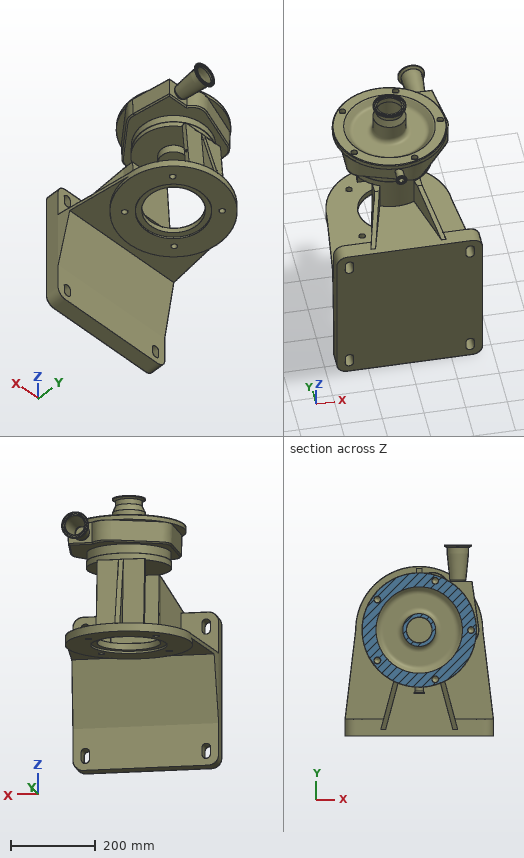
import cadquery as cq
import math


plate_width = 350.0
plate_height = 370.0
plate_thickness = 40.0
plate_corner_radius = 25.0
plate_front_y = -250.0
plate_back_y = plate_front_y + plate_thickness
slot_width = 20.0
slot_length = 36.0
slot_pitch_x = 290.0
slot_pitch_z = 300.0

shelf_top_z = 270.0
shelf_thickness = 10.0
shelf_disk_radius = 150.0
shelf_disk_thickness = 20.0
shelf_hole_radius = 75.0
spigot_recess_radius = 90.0
spigot_recess_depth = 5.0
motor_bolt_count = 4
motor_bolt_start_angle = 45.0
motor_bolt_circle_radius = 115.0
motor_bolt_hole_diameter = 15.0
wedge_start_y = -175.0
wedge_bottom_z = 100.0

leg_top_z = 435.0
leg_half_width = 57.0
front_leg_inner_top_y = -80.0
front_leg_inner_bottom_y = -70.0
front_leg_outer_y = -109.0
rear_leg_inner_top_y = 88.0
rear_leg_inner_bottom_y = 101.5
rear_leg_thickness = 12.0
rear_gusset_thickness = 12.0
rear_gusset_foot_y = 145.0
rib_thickness = 11.0
rib_tip_y = -234.0
rib_angle = 15.0
guard_hole_diameter = 6.0
guard_hole_z = 340.0
guard_hole_depth = 15.0

lower_flange_radius = 100.5
upper_flange_radius = 99.5
flange_step_z = 450.0
stub_radius = 37.5
stub_bottom_z = 412.5

casing_bottom_z = 472.0
casing_top_z = 523.5
casing_mid_z = (casing_bottom_z + casing_top_z) / 2
casing_draft = 1.2
casing_chamfer = 3.5
chamfer_angle = 45.0
corner_count = 5
corner_step = 360.0 / corner_count
corner_centre_radius = 100.0
large_corner_radius = 40.5
small_corner_radius = 34.5
outlet_block_x = 124.5
outlet_block_y = 114.5

cover_radius = 135.0
cover_top_z = 535.5
cover_chamfer = 2.0
cover_bolt_circle_radius = 122.0
cover_bolt_diameter = 15.0
cover_bolt_depth = 12.0
drill_point_angle = 118.0
recess_depth = 17.0
recess_rim_radius = 108.0
recess_mouth_radius = 105.0
recess_wall_radius = 94.5
recess_floor_radius = 84.0
recess_wall_angle = 45.0
hub_foot_radius = 53.0

inlet_top_z = 602.6
inlet_bore_radius = 30.0
inlet_tube_radius = 32.0
inlet_ferrule_radius = 38.75
inlet_hub_radius = 39.0
inlet_tube_length = 18.5
inlet_reducer_length = 15.5

side_nozzle_z = 499.25

outlet_x = 91.0
outlet_end_y = 200.0
outlet_ferrule_radius = 32.0
outlet_tube_radius = 25.4
outlet_root_radius = 19.0
outlet_neck_radius = 16.5
outlet_neck_length = 3.5
outlet_wall = 1.75
outlet_tube_length = 20.0

drain_end_y = -150.0
drain_ferrule_radius = 12.75
drain_tube_radius = 9.5
drain_bore_radius = 6.5

ferrule_rim = 2.5
ferrule_length = 6.0
inlet_groove_radius = 35.25
outlet_groove_radius = 28.0
large_groove_section = 1.5
drain_groove_radius = 10.0
drain_groove_section = 1.0


def polar(radius, angle):
    return (radius * math.cos(math.radians(angle)), radius * math.sin(math.radians(angle)))


def disk(radius, bottom_z, top_z):
    return cq.Workplane("XY").workplane(offset=bottom_z).circle(radius).extrude(top_z - bottom_z)


def side_profile(points, half_width):
    """Closed (Y, Z) outline extruded symmetrically about X = 0."""
    return cq.Workplane("YZ").polyline(points).close().extrude(half_width, both=True)


def mounting_plate():
    plate = (
        cq.Workplane("XZ", origin=(0, plate_back_y, plate_height / 2))
        .rect(plate_width, plate_height)
        .extrude(plate_thickness)
        .edges("|Y")
        .fillet(plate_corner_radius)
    )
    slots = (
        cq.Workplane("XZ", origin=(0, plate_back_y, plate_height / 2))
        .rect(slot_pitch_x, slot_pitch_z, forConstruction=True)
        .vertices()
        .slot2D(slot_length, slot_width, 90)
        .extrude(plate_thickness)
    )
    return plate.cut(slots)


def motor_shelf():
    shelf_bottom_z = shelf_top_z - shelf_thickness
    outline = (
        cq.Workplane("XY")
        .moveTo(-plate_width / 2, plate_back_y)
        .lineTo(plate_width / 2, plate_back_y)
        .lineTo(shelf_disk_radius, 0)
        .lineTo(-shelf_disk_radius, 0)
        .close()
        .extrude(shelf_top_z)
    )
    profile = side_profile(
        [
            (0, shelf_top_z),
            (0, shelf_bottom_z),
            (wedge_start_y, shelf_bottom_z),
            (plate_back_y, wedge_bottom_z),
            (plate_back_y, shelf_top_z),
        ],
        plate_width / 2,
    )
    disk_bottom_z = shelf_top_z - shelf_disk_thickness
    shelf = outline.intersect(profile).union(disk(shelf_disk_radius, disk_bottom_z, shelf_top_z))
    shelf = shelf.cut(disk(shelf_hole_radius, disk_bottom_z, shelf_top_z))
    shelf = shelf.cut(disk(spigot_recess_radius, disk_bottom_z, disk_bottom_z + spigot_recess_depth))
    bolt_holes = (
        cq.Workplane("XY", origin=(0, 0, disk_bottom_z))
        .polarArray(motor_bolt_circle_radius, motor_bolt_start_angle, 360, motor_bolt_count)
        .circle(motor_bolt_hole_diameter / 2)
        .extrude(shelf_disk_thickness)
    )
    return shelf.cut(bolt_holes)


def front_leg():
    """Curved wall braced to the mounting plate by two splayed ribs with a solid block between them."""
    inner_edge = [(front_leg_inner_bottom_y, shelf_top_z), (front_leg_inner_top_y, leg_top_z)]
    wall_profile = side_profile(
        inner_edge + [(front_leg_outer_y, leg_top_z), (front_leg_outer_y, shelf_top_z)],
        leg_half_width,
    )
    wall = disk(lower_flange_radius, shelf_top_z, leg_top_z).intersect(wall_profile)

    rib_profile = side_profile(
        inner_edge
        + [(front_leg_outer_y, leg_top_z), (rib_tip_y, plate_height), (rib_tip_y, shelf_top_z)],
        plate_width / 2,
    )
    splay = math.tan(math.radians(rib_angle))
    rib_width = rib_thickness / math.cos(math.radians(rib_angle))
    outer_tip_x = leg_half_width + (front_leg_outer_y - rib_tip_y) * splay
    inner_tip_x = outer_tip_x - rib_width
    inner_root_x = inner_tip_x - (front_leg_inner_top_y - rib_tip_y) * splay
    inner_plate_x = inner_tip_x - (plate_back_y - rib_tip_y) * splay
    rib = (
        cq.Workplane("XY", origin=(0, 0, shelf_top_z))
        .moveTo(leg_half_width, front_leg_inner_bottom_y)
        .lineTo(leg_half_width, front_leg_outer_y)
        .lineTo(outer_tip_x, rib_tip_y)
        .lineTo(inner_tip_x, rib_tip_y)
        .lineTo(inner_root_x, front_leg_inner_top_y)
        .lineTo(inner_root_x, front_leg_inner_bottom_y)
        .close()
        .extrude(leg_top_z - shelf_top_z)
        .intersect(rib_profile)
    )
    block = (
        cq.Workplane("XY", origin=(0, 0, shelf_top_z))
        .moveTo(-inner_root_x, front_leg_inner_top_y)
        .lineTo(inner_root_x, front_leg_inner_top_y)
        .lineTo(inner_plate_x, plate_back_y)
        .lineTo(-inner_plate_x, plate_back_y)
        .close()
        .extrude(plate_height - shelf_top_z)
    )
    return wall.union(rib).union(rib.mirror("YZ")).union(block)


def rear_leg():
    """Leaning flat leg stiffened by one central gusset."""
    outer_top_y = rear_leg_inner_top_y + rear_leg_thickness
    outer_bottom_y = rear_leg_inner_bottom_y + rear_leg_thickness
    leg = side_profile(
        [
            (rear_leg_inner_top_y, leg_top_z),
            (rear_leg_inner_bottom_y, shelf_top_z),
            (outer_bottom_y, shelf_top_z),
            (outer_top_y, leg_top_z),
        ],
        leg_half_width,
    )
    gusset = side_profile(
        [(outer_top_y, leg_top_z), (outer_bottom_y, shelf_top_z), (rear_gusset_foot_y, shelf_top_z)],
        rear_gusset_thickness / 2,
    )
    return leg.union(gusset)


def guard_holes():
    """Blind holes in the sides of both legs, half a leg thickness in from their inner faces."""
    drop = (leg_top_z - guard_hole_z) / (leg_top_z - shelf_top_z)
    rear_y = rear_leg_inner_top_y + drop * (rear_leg_inner_bottom_y - rear_leg_inner_top_y)
    front_y = front_leg_inner_top_y + drop * (front_leg_inner_bottom_y - front_leg_inner_top_y)
    inset = rear_leg_thickness / 2
    holes = (
        cq.Workplane("YZ", origin=(-leg_half_width, 0, 0))
        .pushPoints([(rear_y + inset, guard_hole_z), (front_y - inset, guard_hole_z)])
        .circle(guard_hole_diameter / 2)
        .extrude(guard_hole_depth)
    )
    return holes.union(holes.mirror("YZ"))


def adapter_flange():
    lower = disk(lower_flange_radius, leg_top_z, flange_step_z)
    upper = disk(upper_flange_radius, flange_step_z, casing_bottom_z)
    stub = disk(stub_radius, stub_bottom_z, leg_top_z)
    return lower.union(upper).union(stub)


def casing_outline(z, inset):
    """Rounded pentagon whose two corners beside the outlet have the larger radius."""
    radii = [large_corner_radius - inset] * 2 + [small_corner_radius - inset] * (corner_count - 2)
    side = 2 * corner_centre_radius * math.sin(math.radians(corner_step / 2))
    side_angles = []
    for i in range(corner_count):
        shrink = radii[i] - radii[(i + 1) % corner_count]
        turn = math.degrees(math.asin(shrink / side))
        side_angles.append(corner_step * (i + 0.5) + turn)

    def on_corner(i, angle):
        centre = polar(corner_centre_radius, corner_step * i)
        offset = polar(radii[i], angle)
        return (centre[0] + offset[0], centre[1] + offset[1])

    outline = cq.Workplane("XY", origin=(0, 0, z)).moveTo(*on_corner(0, side_angles[-1]))
    for i in range(corner_count):
        outline = outline.threePointArc(on_corner(i, corner_step * i), on_corner(i, side_angles[i]))
        if i < corner_count - 1:
            outline = outline.lineTo(*on_corner(i + 1, side_angles[i]))
    return outline.close()


def outlet_block_outline(z, inset):
    """Tangential block that carries the outlet nozzle."""
    corner_x = outlet_block_x - inset
    end_y = outlet_block_y - inset
    corner_radius = large_corner_radius - inset
    dx = corner_x - corner_centre_radius
    reach = math.hypot(dx, end_y)
    tangent_angle = math.degrees(math.atan2(end_y, dx) - math.acos(corner_radius / reach))
    offset = polar(corner_radius, tangent_angle)
    return (
        cq.Workplane("XY", origin=(0, 0, z))
        .moveTo(corner_centre_radius, 0)
        .lineTo(corner_centre_radius + offset[0], offset[1])
        .lineTo(corner_x, end_y)
        .lineTo(polar(corner_centre_radius, corner_step)[0], end_y)
        .close()
    )


def casing():
    """Drafted casing body and outlet block, both chamfered along the lower edge."""
    chamfer_z = casing_bottom_z + casing_chamfer
    chamfer_inset = (casing_top_z - chamfer_z) * math.tan(math.radians(casing_draft))
    body = cq.Workplane("XY")
    for outline in (casing_outline, outlet_block_outline):
        body = body.union(outline(casing_top_z, 0).extrude(chamfer_z - casing_top_z, taper=casing_draft))
        body = body.union(outline(chamfer_z, chamfer_inset).extrude(-casing_chamfer, taper=chamfer_angle))
    return body


def cover_plate():
    return disk(cover_radius, casing_top_z, cover_top_z).faces(">Z").edges().chamfer(cover_chamfer)


def cover_recess():
    """Turned dish around the inlet hub, cut down through the cover."""
    floor_z = cover_top_z - recess_depth
    fillet_radius = (recess_wall_radius - recess_floor_radius) / math.sin(math.radians(recess_wall_angle))
    fillet_middle = polar(fillet_radius, -90 + recess_wall_angle / 2)
    fillet_end = polar(fillet_radius, -90 + recess_wall_angle)
    hub_fillet = hub_foot_radius - inlet_hub_radius
    arc_share = 1 - math.sqrt(0.5)
    return (
        cq.Workplane("XZ")
        .moveTo(inlet_hub_radius, cover_top_z)
        .lineTo(inlet_hub_radius, floor_z + hub_fillet)
        .threePointArc(
            (inlet_hub_radius + arc_share * hub_fillet, floor_z + arc_share * hub_fillet),
            (hub_foot_radius, floor_z),
        )
        .lineTo(recess_floor_radius, floor_z)
        .threePointArc(
            (recess_floor_radius + fillet_middle[0], floor_z + fillet_radius + fillet_middle[1]),
            (recess_wall_radius, floor_z + fillet_radius + fillet_end[1]),
        )
        .lineTo(recess_mouth_radius, cover_top_z - cover_chamfer)
        .lineTo(recess_rim_radius, cover_top_z)
        .close()
        .revolve(360, (0, 0, 0), (0, 1, 0))
    )


def cover_bolt_holes():
    """Blind drilled holes with conical ends, one at each casing corner."""
    radius = cover_bolt_diameter / 2
    tip_depth = cover_bolt_depth + radius / math.tan(math.radians(drill_point_angle / 2))
    drill = (
        cq.Workplane("XZ")
        .polyline([(0, 0), (radius, 0), (radius, -cover_bolt_depth), (0, -tip_depth)])
        .close()
        .revolve(360, (0, 0, 0), (0, 1, 0))
    )
    holes = cq.Workplane("XY")
    for i in range(corner_count):
        x, y = polar(cover_bolt_circle_radius, corner_step * i)
        holes = holes.union(drill.translate((x, y, cover_top_z)))
    return holes


def inlet_nozzle():
    tube_bottom_z = inlet_top_z - inlet_tube_length
    return (
        cq.Workplane("XZ")
        .moveTo(0, inlet_top_z)
        .lineTo(inlet_ferrule_radius, inlet_top_z)
        .lineTo(inlet_ferrule_radius, inlet_top_z - ferrule_rim)
        .lineTo(inlet_tube_radius, inlet_top_z - ferrule_length)
        .lineTo(inlet_tube_radius, tube_bottom_z)
        .lineTo(inlet_hub_radius, tube_bottom_z - inlet_reducer_length)
        .lineTo(inlet_hub_radius, casing_mid_z)
        .lineTo(0, casing_mid_z)
        .close()
        .revolve(360, (0, 0, 0), (0, 1, 0))
    )


def outlet_nozzle():
    root_y = outlet_block_y - casing_chamfer
    return (
        cq.Workplane("XY", origin=(outlet_x, 0, side_nozzle_z))
        .moveTo(0, outlet_end_y)
        .lineTo(outlet_ferrule_radius, outlet_end_y)
        .lineTo(outlet_ferrule_radius, outlet_end_y - ferrule_rim)
        .lineTo(outlet_tube_radius, outlet_end_y - ferrule_length)
        .lineTo(outlet_tube_radius, outlet_end_y - outlet_tube_length)
        .lineTo(outlet_root_radius, outlet_block_y + outlet_neck_length)
        .lineTo(outlet_neck_radius, outlet_block_y)
        .lineTo(outlet_neck_radius, root_y)
        .lineTo(0, root_y)
        .close()
        .revolve(360, (0, 0, 0), (0, 1, 0))
    )


def outlet_bore():
    return (
        cq.Workplane("XY", origin=(outlet_x, 0, side_nozzle_z))
        .moveTo(0, outlet_end_y)
        .lineTo(outlet_tube_radius - outlet_wall, outlet_end_y)
        .lineTo(outlet_tube_radius - outlet_wall, outlet_end_y - outlet_tube_length)
        .lineTo(outlet_neck_radius - outlet_wall, outlet_block_y)
        .lineTo(0, outlet_block_y)
        .close()
        .revolve(360, (0, 0, 0), (0, 1, 0))
    )


def drain_nozzle():
    return (
        cq.Workplane("XY", origin=(0, 0, side_nozzle_z))
        .moveTo(0, drain_end_y)
        .lineTo(drain_ferrule_radius, drain_end_y)
        .lineTo(drain_ferrule_radius, drain_end_y + ferrule_rim)
        .lineTo(drain_tube_radius, drain_end_y + ferrule_length)
        .lineTo(drain_tube_radius, -corner_centre_radius)
        .lineTo(0, -corner_centre_radius)
        .close()
        .revolve(360, (0, 0, 0), (0, 1, 0))
    )


def drain_bore():
    return (
        cq.Workplane("XZ", origin=(0, drain_end_y, side_nozzle_z))
        .circle(drain_bore_radius)
        .extrude(drain_end_y + corner_centre_radius)
    )


def gasket_groove(ring_radius, section_radius, centre, axis):
    """Ring whose inner half cuts a half-round groove in a ferrule face."""
    return cq.Solid.makeTorus(ring_radius, section_radius, cq.Vector(*centre), cq.Vector(*axis))


def gasket_grooves():
    inlet_face = (0, 0, inlet_top_z)
    outlet_face = (outlet_x, outlet_end_y, side_nozzle_z)
    drain_face = (0, drain_end_y, side_nozzle_z)
    inlet = gasket_groove(inlet_groove_radius, large_groove_section, inlet_face, (0, 0, 1))
    outlet = gasket_groove(outlet_groove_radius, large_groove_section, outlet_face, (0, 1, 0))
    drain = gasket_groove(drain_groove_radius, drain_groove_section, drain_face, (0, 1, 0))
    return [inlet, outlet, drain]


bracket = mounting_plate().union(motor_shelf()).union(front_leg()).union(rear_leg()).cut(guard_holes())

pump = adapter_flange().union(casing()).union(cover_plate())
pump = pump.cut(cover_recess()).cut(cover_bolt_holes())
pump = pump.union(inlet_nozzle()).union(outlet_nozzle()).union(drain_nozzle())
pump = pump.cut(disk(inlet_bore_radius, casing_mid_z, inlet_top_z))
pump = pump.cut(outlet_bore()).cut(drain_bore())
for groove in gasket_grooves():
    pump = pump.cut(groove)

result = bracket.union(pump)